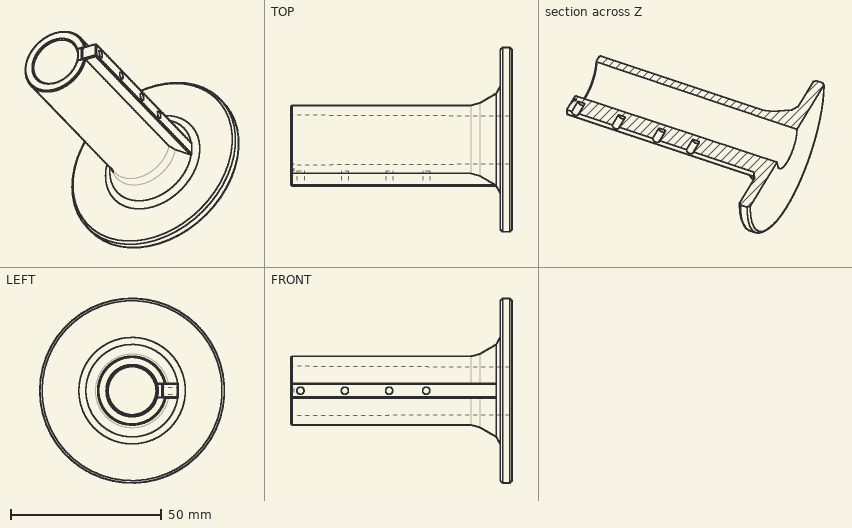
import cadquery as cq
import math

length = 73.75
shaft_radius = 11.5
flange_radius = 30.8
flange_thickness = 4.0
flange_chamfer = 0.8
edge_chamfer = 0.4

flare_start = 60.0
flare_lengths = (3.0, 5.4, 1.35)
flare_angles = (15.0, 30.0, 60.0)

bore_mouth_radius = 8.3
bore_end_radius = 8.0

key_width = 5.0
key_tip_radius = 15.45
key_root_radius = 10.4

groove_depth = 1.0
groove_root_width = 0.5
groove_side_width = 0.2
groove_outer_width = 4.8

key_hole_diameter = 2.4
key_hole_positions = (3.2, 18.0, 32.75, 45.1)
key_hole_depth = key_tip_radius - key_root_radius

flange_front = length - flange_thickness


def flare_points():
    """Return the (x, radius) ends of the three flare cones."""
    x = flare_start
    radius = shaft_radius
    points = [(x, radius)]
    for cone_length, angle in zip(flare_lengths, flare_angles):
        x += cone_length
        radius += cone_length * math.tan(math.radians(angle))
        points.append((x, radius))
    return points


def revolve_about_x(points):
    """Turn a closed (x, radius) outline about the X axis."""
    return cq.Workplane("XY").polyline(points).close().revolve(360, (0, 0, 0), (1, 0, 0))


def make_body():
    """Shaft, flare and flange without the bore."""
    outline = [
        (0, 0),
        (0, shaft_radius - edge_chamfer),
        (edge_chamfer, shaft_radius),
        *flare_points(),
        (flange_front, flange_radius - flange_chamfer),
        (flange_front + flange_chamfer, flange_radius),
        (length - flange_chamfer, flange_radius),
        (length, flange_radius - flange_chamfer),
        (length, 0),
    ]
    return revolve_about_x(outline)


def make_key():
    """Chamfered bar that runs from the shaft mouth into the flare."""
    key = cq.Workplane("XY").box(
        flange_front,
        key_tip_radius - key_root_radius,
        key_width,
        centered=(False, False, True),
    )
    key = key.translate((0, -key_tip_radius, 0))
    return key.edges("(<X or <Y) and (not >X) and (not >Y)").chamfer(edge_chamfer)


def make_bore():
    """Tapered bore with a chamfered mouth."""
    outline = [
        (0, 0),
        (0, bore_mouth_radius + edge_chamfer),
        (edge_chamfer, bore_mouth_radius),
        (length, bore_end_radius),
        (length, 0),
    ]
    return revolve_about_x(outline)


def make_groove():
    """U-shaped groove: one leg along the key root and one along each side, open to the bore."""
    block = cq.Workplane("XY").box(
        groove_depth,
        key_root_radius,
        groove_outer_width,
        centered=(False, False, True),
    )
    core = cq.Workplane("XY").box(
        groove_depth,
        key_root_radius - groove_root_width,
        groove_outer_width - 2 * groove_side_width,
        centered=(False, False, True),
    )
    block = block.translate((0, -key_root_radius, 0))
    core = core.translate((0, groove_root_width - key_root_radius, 0))
    return block.cut(core)


def make_key_holes():
    """Blind holes drilled into the key tip."""
    tip_plane = cq.Workplane("XZ", origin=(0, -key_tip_radius, 0))
    centres = [(x, 0) for x in key_hole_positions]
    return tip_plane.pushPoints(centres).circle(key_hole_diameter / 2).extrude(-key_hole_depth)


result = make_body().union(make_key())
result = result.cut(make_bore()).cut(make_groove()).cut(make_key_holes())